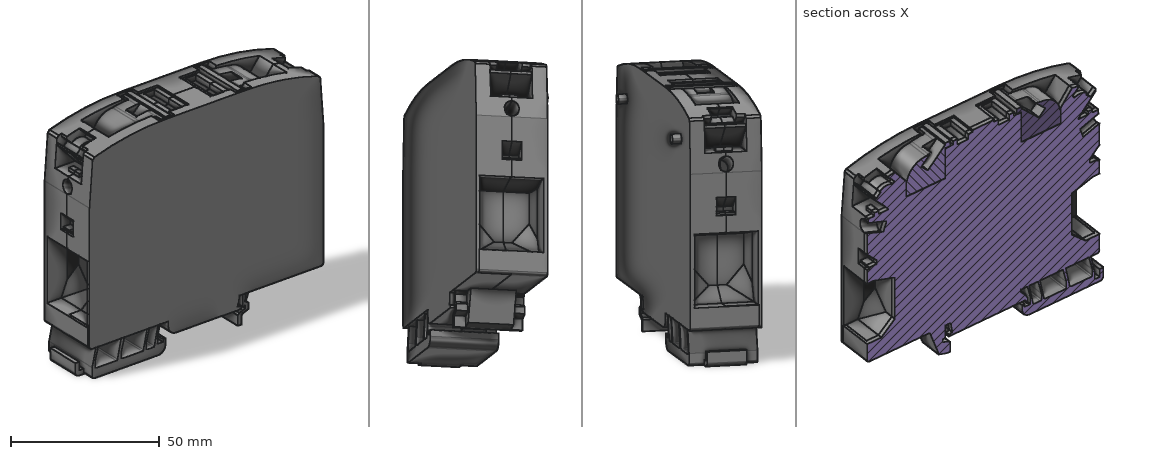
import cadquery as cq
import math

WIDTH = 24.8
LENGTH = 99.4
HEIGHT = 77.4
MID_X = WIDTH / 2
MID_Y = LENGTH / 2
TAPER_START_Z = 54.0
TAPER_INSET = 1.3
CHAMFER_BASE_Z = 71.9
CROWN_EDGE_Y = 2.1
CROWN_EDGE_Z = 72.8
CROWN_FLAT_Y = 32.7
BOTTOM_FILLET = 1.1
BEYOND = 4.0

BASE_WIDTH = 23.8
BASE_TOP_Z = 8.0
END_WALL = 1.0

RAIL_BLOCK_Z = -5.4
RAIL_BLOCK_FRONT_Y = 33.5
RAIL_BLOCK_BACK_Y = 63.7
RAIL_LIP_Y = 64.4
RAIL_LIP_Z = -4.4
RAIL_UNDERCUT_Y = 63.0
RAIL_UNDERCUT_Z = -4.0
RAIL_BLOCK_RADIUS = 3.2
RAIL_RIB_INSET = 4.0

FOOT_BOTTOM_Z = -12.2
FOOT_FLOOR_Z = -8.5
FOOT_FRONT_Y = 1.9
FOOT_BACK_Y = 33.1
FOOT_TOP_Y = (3.6, 30.9)
FOOT_CATCH_Y = 32.0
FOOT_NOTCH_Y = 29.7
FOOT_BEND_Z = -4.8
FOOT_HEEL_RADIUS = 3.3
FOOT_TOE_RADIUS = 1.0
FOOT_CATCH_Z = -6.8
FOOT_NOTCH_Z = -7.8
STRUT_BEND_Z = -5.6
STRUT_LEAN = 1.4
CELL_RADIUS = 0.5
CELL_FRONT_Y = [4.6, 15.8, 26.4]
CELL_BACK_Y = [14.3, 25.3, 30.0]
CELL_LEAN = 1.7
TAB_X = (5.4, 19.2)
TAB_FRONT_Y = -1.6
TAB_INNER_Y = 0.1
TAB_TOP_Z = -7.0
TAB_SLOT_Z = -10.2
TAB_RADIUS = 1.5

PIN_DIAMETER = 3.3
PIN_LENGTH = 3.1
PIN_SEAT = 2.0
PIN_Y = 13.5
PIN_Z = 63.6

WIRE_WIDTH = 22.2
WIRE_CENTER_X = 12.5
WIRE_TOP_Z = 33.3
WIRE_DEPTH = 11.8
WIRE_SIDE_Y = 8.6
WIRE_CEILING_Y = 2.8
WIRE_FLOOR_Y = 6.1
WIRE_SIDE_DRAFT = 2.0
WIRE_TOP_DRAFT = 2.8
WIRE_FLOOR_RISE = 5.1
CORNER_REACH_X = 12.4
CORNER_REACH_Z = 14.2

WINDOW_WIDTH = 6.7
WINDOW_Z = (39.3, 45.5)
WINDOW_DEPTH = 4.0
WINDOW_BACK_Z = 41.5
WINDOW_SILL_Y = 1.0
WINDOW_SILL_Z = 40.0

SCREW_DIAMETER = 5.0
SCREW_Z = 56.9
SCREW_TILT = 20.0
SCREW_DEPTH = 8.1

CONNECTOR_WIDE = 14.5
CONNECTOR_NARROW = 8.7
CONNECTOR_FLOOR_Z = 60.8
CONNECTOR_FLOOR_END_Y = 9.1
CONNECTOR_WIDE_Y = 3.3
CONNECTOR_NARROW_Y = 8.8
LIP_Y = 1.6
LIP_Z = (69.1, 70.1)
LIP_FOOT = (3.9, 67.8)
STEP_WIDTH = 5.7
STEP_Y = (3.0, 5.0)
STEP_TOP_Z = 62.1

LEVER_WIDTH = 15.1
LEVER_BASE_Z = 62.6
POCKET_RIM_Y = 11.8
POCKET_RIM_Z = 75.3
DOME_FRONT_Y = 16.8
DOME_RADIUS = 8.4
DOME_TOP_Z = 75.7
POCKET_SLOPE_END_Z = 69.1
LEVER_STEP_Y = 26.2
LEVER_STEP_Z = 76.0
LEVER_LEDGE_Y = 31.8
LEVER_LEDGE_Z = 76.7
BAR_FRONT_Y = 33.3
BAR_BACK_Y = 35.5
BAR_WIDTH = 22.0
SEAT_WIDTH = 23.1
SEAT_Y = (30.0, 36.7)
SEAT_Z = 75.2
SEAT_SLOPE_END_Y = 31.5
SOCKET_WIDTH = 5.9
SOCKET_Y = (27.4, 33.3)
SOCKET_DROP = 4.0
SOCKET_FLOOR_DROP = 7.4

LABEL_WIDTH = 17.2
LABEL_Y = (36.7, 45.0)
LABEL_DEPTH = 0.8
LABEL_SLOT_WIDTH = 15.7
LABEL_SLOT_Y = (38.7, 43.1)
LABEL_SLOT_DEPTH = 3.0


def box(x_range, y_range, z_range):
    """Box between two corners given as ranges."""
    size = [r[1] - r[0] for r in (x_range, y_range, z_range)]
    return cq.Workplane("XY").box(*size, centered=False).translate((x_range[0], y_range[0], z_range[0]))


def across(center, width):
    """Range of the given width about a center."""
    return (center - width / 2, center + width / 2)


def extrude_x(sketch, x_range):
    """Extrude a closed YZ sketch over a range of X."""
    return sketch.extrude(x_range[1] - x_range[0]).translate((x_range[0], 0, 0))


def profile(points, x_range):
    """Prism along X with a polygonal YZ section."""
    return extrude_x(cq.Workplane("YZ").polyline(points).close(), x_range)


def to_back(shape):
    """Mirror a front feature to the back end."""
    return shape.mirror("XZ", (0, MID_Y, 0))


def tetrahedron(corner, leg_x, leg_y, leg_z):
    """Right-angled corner wedge with signed legs along the axes."""
    origin = cq.Vector(*corner)
    tips = [origin + cq.Vector(*leg) for leg in ((leg_x, 0, 0), (0, leg_y, 0), (0, 0, leg_z))]
    triangles = [tips] + [[origin, tips[i], tips[(i + 1) % 3]] for i in range(3)]
    faces = [cq.Face.makeFromWires(cq.Wire.makePolygon(t, close=True)) for t in triangles]
    return cq.Workplane(cq.Solid.makeSolid(cq.Shell.makeShell(faces)))


def housing_block():
    """Outer form of the closed housing with its domed crown and the rail block."""
    run = CROWN_FLAT_Y - CROWN_EDGE_Y
    drop = HEIGHT - CROWN_EDGE_Z
    radius = (run**2 + drop**2) / (2 * drop)
    mid_drop = radius - math.sqrt(radius**2 - (run / 2) ** 2)
    mid_y = CROWN_FLAT_Y - run / 2
    mid_z = HEIGHT - mid_drop
    outline = (
        cq.Workplane("YZ")
        .polyline([(0, 0), (0, TAPER_START_Z), (TAPER_INSET, CHAMFER_BASE_Z), (CROWN_EDGE_Y, CROWN_EDGE_Z)])
        .threePointArc((mid_y, mid_z), (CROWN_FLAT_Y, HEIGHT))
        .lineTo(LENGTH - CROWN_FLAT_Y, HEIGHT)
        .threePointArc((LENGTH - mid_y, mid_z), (LENGTH - CROWN_EDGE_Y, CROWN_EDGE_Z))
        .lineTo(LENGTH - TAPER_INSET, CHAMFER_BASE_Z)
        .lineTo(LENGTH, TAPER_START_Z)
        .lineTo(LENGTH, 0)
        .close()
    )
    block = extrude_x(outline, (0, WIDTH)).edges("|X and <Z").fillet(BOTTOM_FILLET)
    return block.union(rail_block())


def rail_block():
    """Block that enters the rail, rounded in front and undercut at the back."""
    points = [
        (RAIL_BLOCK_FRONT_Y, 0),
        (RAIL_BLOCK_FRONT_Y, RAIL_BLOCK_Z),
        (RAIL_LIP_Y, RAIL_BLOCK_Z),
        (RAIL_LIP_Y, RAIL_LIP_Z),
        (RAIL_UNDERCUT_Y, RAIL_UNDERCUT_Z),
        (RAIL_BLOCK_BACK_Y, 0),
    ]
    block = profile(points, (0, WIDTH))
    front_edge = cq.selectors.NearestToPointSelector((MID_X, RAIL_BLOCK_FRONT_Y, RAIL_BLOCK_Z))
    return block.edges(front_edge).fillet(RAIL_BLOCK_RADIUS)


def wire_pocket():
    """Funnel with straight mouth, closing side walls and two slanted lower corners."""
    x_range = across(WIRE_CENTER_X, WIRE_WIDTH)
    pocket = box(x_range, (-BEYOND, WIRE_DEPTH), (BASE_TOP_Z, WIRE_TOP_Z))
    floor = [(WIRE_FLOOR_Y, BASE_TOP_Z), (WIRE_DEPTH, BASE_TOP_Z), (WIRE_DEPTH, BASE_TOP_Z + WIRE_FLOOR_RISE)]
    ceiling = [
        (WIRE_CEILING_Y, WIRE_TOP_Z),
        (WIRE_DEPTH, WIRE_TOP_Z),
        (WIRE_DEPTH, WIRE_TOP_Z - WIRE_TOP_DRAFT),
    ]
    pocket = pocket.cut(profile(floor, x_range)).cut(profile(ceiling, x_range))
    for wall_x, inward in ((x_range[0], 1), (x_range[1], -1)):
        closed_x = wall_x + inward * WIRE_SIDE_DRAFT
        side = (
            cq.Workplane("XY", origin=(0, 0, BASE_TOP_Z))
            .polyline([(wall_x, WIRE_SIDE_Y), (wall_x, WIRE_DEPTH), (closed_x, WIRE_DEPTH)])
            .close()
            .extrude(WIRE_TOP_Z - BASE_TOP_Z)
        )
        corner = tetrahedron(
            (wall_x, WIRE_DEPTH, BASE_TOP_Z),
            inward * CORNER_REACH_X,
            WIRE_FLOOR_Y - WIRE_DEPTH,
            CORNER_REACH_Z,
        )
        pocket = pocket.cut(side).cut(corner)
    return pocket


def window():
    """Small window with a sloping ceiling and a low sill."""
    points = [
        (-BEYOND, WINDOW_Z[0]),
        (WINDOW_SILL_Y, WINDOW_Z[0]),
        (WINDOW_SILL_Y, WINDOW_SILL_Z),
        (WINDOW_DEPTH, WINDOW_SILL_Z),
        (WINDOW_DEPTH, WINDOW_BACK_Z),
        (0, WINDOW_Z[1]),
        (-BEYOND, WINDOW_Z[1]),
    ]
    return profile(points, across(MID_X, WINDOW_WIDTH))


def screw_hole():
    """Round hole that runs down into the housing."""
    tilt = math.radians(SCREW_TILT)
    direction = cq.Vector(0, math.cos(tilt), -math.sin(tilt))
    start = cq.Vector(MID_X, 0, SCREW_Z) - direction * BEYOND
    return cq.Workplane(
        cq.Solid.makeCylinder(SCREW_DIAMETER / 2, SCREW_DEPTH + BEYOND, start, direction)
    )


def connector_opening():
    """Stepped opening at the upper edge: wide in front, narrow behind."""
    wide = [
        (-BEYOND, CONNECTOR_FLOOR_Z),
        (CONNECTOR_FLOOR_END_Y, CONNECTOR_FLOOR_Z),
        (LIP_Y, LIP_Z[0]),
        (LIP_Y, LIP_Z[1]),
        LIP_FOOT,
        (5.8, 69.6),
        (CONNECTOR_WIDE_Y, 72.0),
        (CONNECTOR_WIDE_Y, HEIGHT),
        (-BEYOND, HEIGHT),
    ]
    narrow = (
        cq.Workplane("YZ")
        .moveTo(-BEYOND, LIP_Z[1])
        .lineTo(LIP_Y, LIP_Z[1])
        .lineTo(*LIP_FOOT)
        .threePointArc((7.3, 71.1), (10.8, 70.7))
        .lineTo(11.5, 71.5)
        .lineTo(CONNECTOR_NARROW_Y, 74.2)
        .lineTo(CONNECTOR_NARROW_Y, HEIGHT)
        .lineTo(-BEYOND, HEIGHT)
        .close()
    )
    step = box(across(MID_X, STEP_WIDTH), STEP_Y, (CONNECTOR_FLOOR_Z, STEP_TOP_Z))
    opening = profile(wide, across(MID_X, CONNECTOR_WIDE))
    return opening.union(extrude_x(narrow, across(MID_X, CONNECTOR_NARROW))).cut(step)


def lever_pocket():
    """Pocket with a sloping end wall, and the wide seat of the cross bar."""
    points = [
        (POCKET_RIM_Y, HEIGHT),
        (POCKET_RIM_Y, POCKET_RIM_Z),
        (DOME_FRONT_Y, POCKET_SLOPE_END_Z),
        (DOME_FRONT_Y, LEVER_BASE_Z),
        (BAR_FRONT_Y, LEVER_BASE_Z),
        (BAR_FRONT_Y, HEIGHT),
    ]
    seat = [
        (SEAT_Y[0], HEIGHT),
        (SEAT_SLOPE_END_Y, SEAT_Z),
        (SEAT_Y[1], SEAT_Z),
        (SEAT_Y[1], HEIGHT),
    ]
    return profile(points, across(MID_X, LEVER_WIDTH)).union(profile(seat, across(MID_X, SEAT_WIDTH)))


def label_recess():
    """Shallow recess with a deeper slot in its floor."""
    recess = box(across(MID_X, LABEL_WIDTH), LABEL_Y, (HEIGHT - LABEL_DEPTH, HEIGHT))
    slot = box(across(MID_X, LABEL_SLOT_WIDTH), LABEL_SLOT_Y, (HEIGHT - LABEL_SLOT_DEPTH, HEIGHT))
    return recess.union(slot)


def pin_cylinder(y):
    """Pin seated in the left face at the given Y."""
    base = cq.Workplane("YZ", origin=(-PIN_LENGTH, y, PIN_Z))
    return base.circle(PIN_DIAMETER / 2).extrude(PIN_LENGTH + PIN_SEAT)


def housing():
    """Complete housing before it is parted into halves."""
    body = housing_block()
    for feature in (wire_pocket, window, screw_hole, connector_opening, lever_pocket, label_recess):
        cutter = feature()
        body = body.cut(cutter).cut(to_back(cutter))
    return body


def left_region():
    """Space of the left half: one side of the middle plane, plus low walls across both ends."""
    side = box((-BEYOND, MID_X), (-BEYOND, LENGTH + BEYOND), (2 * RAIL_BLOCK_Z, HEIGHT + BEYOND))
    end_wall = box((-BEYOND, BASE_WIDTH), (-BEYOND, END_WALL), (-BEYOND, BASE_TOP_Z))
    return side.union(end_wall).union(to_back(end_wall))


def foot():
    """Foot bar hung from leaning struts, with a catch behind and a pull tab in front."""
    outline = [
        (FOOT_TOP_Y[0], 0),
        (FOOT_FRONT_Y, FOOT_NOTCH_Z),
        (FOOT_FRONT_Y, FOOT_BOTTOM_Z),
        (FOOT_BACK_Y, FOOT_BOTTOM_Z),
        (FOOT_BACK_Y, FOOT_CATCH_Z),
        (FOOT_CATCH_Y, FOOT_CATCH_Z),
        (FOOT_CATCH_Y, FOOT_NOTCH_Z),
        (FOOT_NOTCH_Y, FOOT_NOTCH_Z),
        (FOOT_NOTCH_Y, FOOT_BEND_Z),
        (FOOT_TOP_Y[1], 0),
    ]
    x_range = (0, BASE_WIDTH)
    bar = profile(outline, x_range)
    for y, radius in ((FOOT_BACK_Y, FOOT_HEEL_RADIUS), (FOOT_FRONT_Y, FOOT_TOE_RADIUS)):
        edge = cq.selectors.NearestToPointSelector((BASE_WIDTH / 2, y, FOOT_BOTTOM_Z))
        bar = bar.edges(edge).fillet(radius)
    for front_y, back_y in zip(CELL_FRONT_Y, CELL_BACK_Y):
        cell = [
            (front_y, 0),
            (front_y - STRUT_LEAN, STRUT_BEND_Z),
            (front_y - STRUT_LEAN, FOOT_FLOOR_Z),
            (back_y - CELL_LEAN, FOOT_FLOOR_Z),
            (back_y, 0),
        ]
        bar = bar.cut(profile(cell, x_range).edges("|X and <Z").fillet(CELL_RADIUS))
    return bar.union(pull_tab())


def pull_tab():
    """J-shaped tab at the front of the foot."""
    points = [
        (FOOT_FRONT_Y, FOOT_BOTTOM_Z),
        (TAB_FRONT_Y, FOOT_BOTTOM_Z),
        (TAB_FRONT_Y, TAB_TOP_Z),
        (TAB_INNER_Y, TAB_TOP_Z),
        (TAB_INNER_Y, TAB_SLOT_Z),
        (FOOT_FRONT_Y + FOOT_TOE_RADIUS, TAB_SLOT_Z),
        (FOOT_FRONT_Y + FOOT_TOE_RADIUS, FOOT_BOTTOM_Z),
    ]
    tab = profile(points, TAB_X)
    corner = cq.selectors.NearestToPointSelector((sum(TAB_X) / 2, TAB_FRONT_Y, FOOT_BOTTOM_Z))
    return tab.edges(corner).fillet(TAB_RADIUS)


def rail_claw():
    """Fixed claw behind the rail block, backed by a recessed rib."""
    claw_front = [
        (67.8, 0),
        (65.8, 0),
        (65.8, -5.4),
        (66.9, -5.4),
        (66.9, -6.4),
        (64.4, -7.3),
        (63.7, -8.0),
        (63.7, -12.0),
        (65.3, -12.0),
    ]
    shared_face = [(65.3, -8.2), (68.4, -7.0), (68.4, -4.6), (66.8, -3.7), (66.8, -1.1)]
    rib_back = [(67.8, 0), (72.6, 0), (68.7, -11.0), (65.3, -12.0)]
    claw = profile(claw_front + shared_face, (0, BASE_WIDTH))
    rib = profile(rib_back + shared_face, (RAIL_RIB_INSET, BASE_WIDTH - RAIL_RIB_INSET))
    return claw.union(rib)


def rail_hook():
    """Small hook curling down from the rounded front of the rail block."""
    hook = [
        (33.5, -1.0),
        (31.8, -2.7),
        (30.7, -4.6),
        (30.5, -7.1),
        (31.1, -6.8),
        (31.7, -5.5),
        (36.3, RAIL_BLOCK_Z),
        (36.3, -1.0),
    ]
    return profile(hook, (RAIL_RIB_INSET, MID_X))


def lever():
    """Domed lever with a stepped ledge, a sloping socket and a wide cross bar."""
    dome_end_y = DOME_FRONT_Y + DOME_RADIUS
    dome_center_z = DOME_TOP_Z - DOME_RADIUS
    diagonal = DOME_RADIUS * math.sqrt(0.5)
    section = (
        cq.Workplane("YZ")
        .moveTo(DOME_FRONT_Y, LEVER_BASE_Z)
        .lineTo(DOME_FRONT_Y, dome_center_z)
        .threePointArc((dome_end_y - diagonal, dome_center_z + diagonal), (dome_end_y, DOME_TOP_Z))
        .lineTo(LEVER_STEP_Y, LEVER_STEP_Z)
        .lineTo(LEVER_LEDGE_Y, LEVER_LEDGE_Z)
        .lineTo(BAR_FRONT_Y, LEVER_LEDGE_Z)
        .lineTo(BAR_FRONT_Y, LEVER_BASE_Z)
        .close()
    )
    bar = [
        (LEVER_LEDGE_Y, SEAT_Z),
        (LEVER_LEDGE_Y, LEVER_LEDGE_Z),
        (BAR_FRONT_Y, LEVER_LEDGE_Z),
        (BAR_FRONT_Y, HEIGHT),
        (BAR_BACK_Y, HEIGHT),
        (BAR_BACK_Y, SEAT_Z),
    ]
    socket = [
        (SOCKET_Y[0], HEIGHT),
        (SOCKET_Y[0], LEVER_STEP_Z),
        (SOCKET_Y[0] - SOCKET_DROP, LEVER_STEP_Z - SOCKET_DROP),
        (SOCKET_Y[1] - SOCKET_FLOOR_DROP, LEVER_LEDGE_Z - SOCKET_FLOOR_DROP),
        (SOCKET_Y[1], LEVER_LEDGE_Z),
        (SOCKET_Y[1], HEIGHT),
    ]
    body = extrude_x(section, across(MID_X, LEVER_WIDTH)).union(profile(bar, across(MID_X, BAR_WIDTH)))
    return body.cut(profile(socket, across(MID_X, SOCKET_WIDTH)))


pins = [pin_cylinder(y) for y in (PIN_Y, LENGTH - PIN_Y)]
whole_housing = housing()
left_half = whole_housing.intersect(left_region())
for attachment in (foot(), rail_claw(), rail_hook()):
    left_half = left_half.union(attachment)
for pin in pins:
    left_half = left_half.cut(pin)
right_half = whole_housing.cut(left_region())
front_lever = lever()
levers = [front_lever, to_back(front_lever)]

result = cq.Compound.makeCompound(
    [left_half.val(), right_half.val()] + [part.val() for part in levers] + [pin.val() for pin in pins]
)